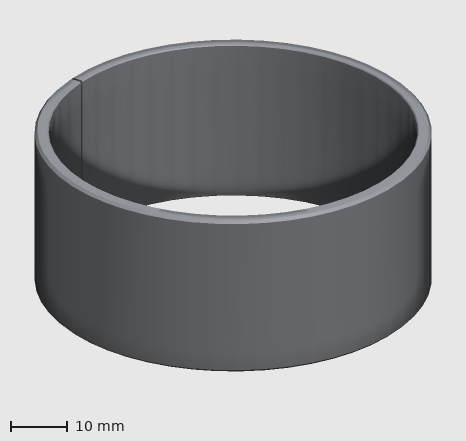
import cadquery as cq

outer_diameter = 70.0
inner_diameter = 65.0
length = 30.0
outer_chamfer = 0.5
inner_chamfer = 0.2
gap_angle = 1.0

outer_radius = outer_diameter / 2
inner_radius = inner_diameter / 2
half_length = length / 2


def make_wall_section():
    """Wall section on the -X side, chamfered at all four corners."""
    outer_end = outer_radius - outer_chamfer
    inner_end = inner_radius + inner_chamfer
    outer_top = half_length - outer_chamfer
    inner_top = half_length - inner_chamfer
    return (
        cq.Workplane("XZ")
        .moveTo(-inner_end, -half_length)
        .lineTo(-outer_end, -half_length)
        .lineTo(-outer_radius, -outer_top)
        .lineTo(-outer_radius, outer_top)
        .lineTo(-outer_end, half_length)
        .lineTo(-inner_end, half_length)
        .lineTo(-inner_radius, inner_top)
        .lineTo(-inner_radius, -inner_top)
        .close()
    )


def make_split_sleeve():
    """Turn the section about Z, from -X by way of -Y, stopping short by the gap."""
    axis_start = (0, 0, 0)
    axis_end = (0, 1, 0)
    return make_wall_section().revolve(360 - gap_angle, axis_start, axis_end)


result = make_split_sleeve()